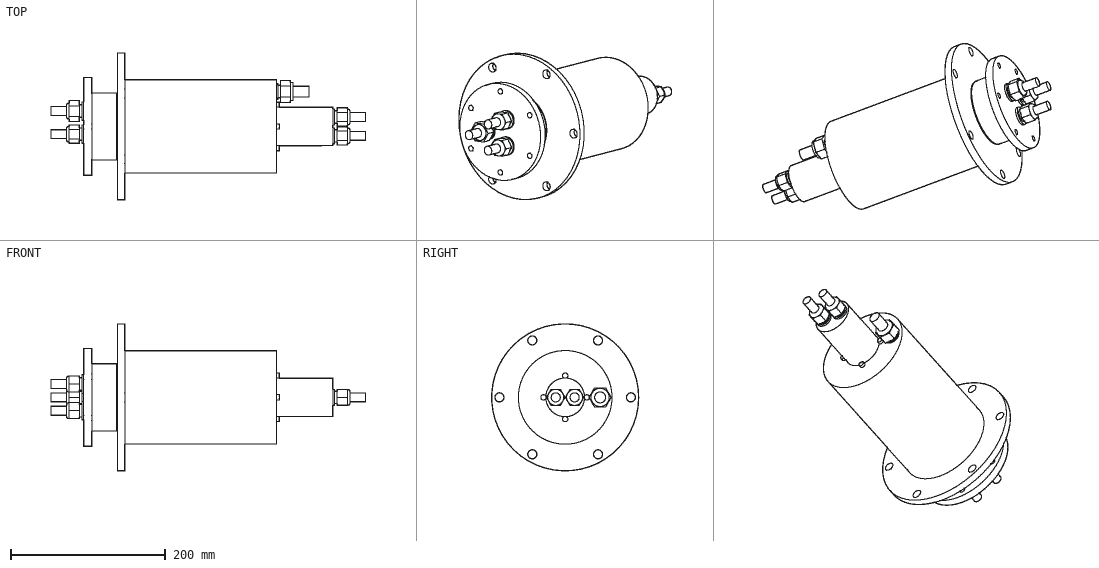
import cadquery as cq

OVERALL_LENGTH = 406.0
GLAND_LENGTH = 42.2
PLATE_FRONT = GLAND_LENGTH
PLATE_BACK = 53.0
HUB_END = 84.5
FLANGE_FRONT = 85.7
FLANGE_BACK = 95.5
BODY_END = 291.2
STUB_END = OVERALL_LENGTH - GLAND_LENGTH

PLATE_DIAMETER = 126.7
HUB_DIAMETER = 87.0
SHAFT_DIAMETER = 86.0
FLANGE_DIAMETER = 190.0
BODY_DIAMETER = 121.0
STUB_DIAMETER = 50.0

HOLE_COUNT = 6
PLATE_HOLE_DIAMETER = 7.0
PLATE_HOLE_CIRCLE = 106.5
PLATE_FIRST_ANGLE = 30
FLANGE_HOLE_DIAMETER = 11.5
FLANGE_HOLE_CIRCLE = 169.8
FLANGE_FIRST_ANGLE = 0

SCREW_COUNT = 4
SCREW_FIRST_ANGLE = 0
SCREW_HEAD_DIAMETER = 7.0
SCREW_HEAD_HEIGHT = 3.5
SCREW_CIRCLE = 56.0

FRONT_GLAND_COUNT = 3
FRONT_GLAND_RADIUS = 20.0
REAR_GLAND_OFFSET = 12.0
SIDE_GLAND_OFFSET = 45.0

NECK_DIAMETER = 16.2
NECK_LENGTH = 3.2
NUT_LENGTH = 13.0
CAP_LENGTH = 3.5
HEX_CORNERS_PER_FLATS = 2 / 3**0.5

SMALL_NUT_FLATS = 20.7
LARGE_NUT_FLATS = 23.5
SIDE_NUT_FLATS = 24.8
CAP_DIAMETER = SMALL_NUT_FLATS
CAP_ROUNDING = 3.2
SIDE_CAP_DIAMETER = 23.5
SIDE_CAP_ROUNDING = 1.2
FRONT_WASHER_DIAMETER = 24.0
REAR_WASHER_DIAMETER = 20.7
WASHER_THICKNESS = 2.5
SIDE_WASHER_THICKNESS = 1.5
CABLE_DIAMETER = 11.8
SIDE_CABLE_DIAMETER = 14.2


def disc(start, end, diameter):
    """Solid cylinder along the X axis between two X stations."""
    return cq.Workplane("YZ", origin=(start, 0, 0)).circle(diameter / 2).extrude(end - start)


def ring_of_cylinders(start, length, diameter, circle, count, first_angle):
    """Cylinders parallel to X, evenly spaced on a circle around the X axis."""
    return (
        cq.Workplane("YZ", origin=(start, 0, 0))
        .polarArray(circle / 2, first_angle, 360, count)
        .circle(diameter / 2)
        .extrude(length)
    )


def drilled_disc(start, end, diameter, hole_diameter, hole_circle, first_angle):
    """Disc with a ring of through holes."""
    holes = ring_of_cylinders(start, end - start, hole_diameter, hole_circle, HOLE_COUNT, first_angle)
    return disc(start, end, diameter).cut(holes)


def gland(
    nut_flats,
    washer_diameter,
    washer_thickness=WASHER_THICKNESS,
    cap_diameter=CAP_DIAMETER,
    cap_rounding=CAP_ROUNDING,
    cable_diameter=CABLE_DIAMETER,
):
    """Cable gland pointing to +X from the origin: washer, neck, hex nut, rounded cap and cable."""
    nut_start = washer_thickness + NECK_LENGTH
    nut_end = nut_start + NUT_LENGTH
    nut = (
        cq.Workplane("YZ", origin=(nut_start, 0, 0))
        .polygon(6, nut_flats * HEX_CORNERS_PER_FLATS)
        .extrude(NUT_LENGTH)
    )
    cap = disc(nut_end, nut_end + CAP_LENGTH, cap_diameter).faces(">X").edges().fillet(cap_rounding)
    return (
        disc(0, washer_thickness, washer_diameter)
        .union(disc(0, nut_start, NECK_DIAMETER))
        .union(nut)
        .union(cap)
        .union(disc(0, GLAND_LENGTH, cable_diameter))
    )


def rotor():
    """Drilled front plate with its hub and the shaft entering the flange."""
    plate = drilled_disc(
        PLATE_FRONT, PLATE_BACK, PLATE_DIAMETER, PLATE_HOLE_DIAMETER, PLATE_HOLE_CIRCLE, PLATE_FIRST_ANGLE
    )
    hub = disc(PLATE_BACK, HUB_END, HUB_DIAMETER)
    shaft = disc(HUB_END, FLANGE_FRONT, SHAFT_DIAMETER)
    return plate.union(hub).union(shaft)


def housing():
    """Mounting flange, main body and rear stub with the screw heads around it."""
    flange = drilled_disc(
        FLANGE_FRONT,
        FLANGE_BACK,
        FLANGE_DIAMETER,
        FLANGE_HOLE_DIAMETER,
        FLANGE_HOLE_CIRCLE,
        FLANGE_FIRST_ANGLE,
    )
    body = disc(FLANGE_BACK, BODY_END, BODY_DIAMETER)
    stub = disc(BODY_END, STUB_END, STUB_DIAMETER)
    screws = ring_of_cylinders(
        BODY_END, SCREW_HEAD_HEIGHT, SCREW_HEAD_DIAMETER, SCREW_CIRCLE, SCREW_COUNT, SCREW_FIRST_ANGLE
    )
    return flange.union(body).union(stub).union(screws)


def front_glands():
    """Three glands on the front plate, pointing to -X; the one on the +Y side has a larger nut."""
    glands = cq.Workplane("YZ")
    for index in range(FRONT_GLAND_COUNT):
        nut_flats = LARGE_NUT_FLATS if index == 0 else SMALL_NUT_FLATS
        placed = (
            gland(nut_flats, FRONT_WASHER_DIAMETER)
            .rotate((0, 0, 0), (0, 0, 1), 180)
            .translate((PLATE_FRONT, FRONT_GLAND_RADIUS, 0))
            .rotate((0, 0, 0), (1, 0, 0), index * 360 / FRONT_GLAND_COUNT)
        )
        glands = glands.add(placed)
    return glands.combine()


def rear_glands():
    """Two glands side by side on the end of the stub."""
    upright = gland(SMALL_NUT_FLATS, REAR_WASHER_DIAMETER)
    left = upright.translate((STUB_END, REAR_GLAND_OFFSET, 0))
    right = upright.translate((STUB_END, -REAR_GLAND_OFFSET, 0))
    return left.union(right)


def side_gland():
    """Thicker gland on the body's rear face, beside the stub."""
    return gland(
        SIDE_NUT_FLATS,
        REAR_WASHER_DIAMETER,
        washer_thickness=SIDE_WASHER_THICKNESS,
        cap_diameter=SIDE_CAP_DIAMETER,
        cap_rounding=SIDE_CAP_ROUNDING,
        cable_diameter=SIDE_CABLE_DIAMETER,
    ).translate((BODY_END, SIDE_GLAND_OFFSET, 0))


result = rotor().union(housing()).union(front_glands()).union(rear_glands()).union(side_gland())